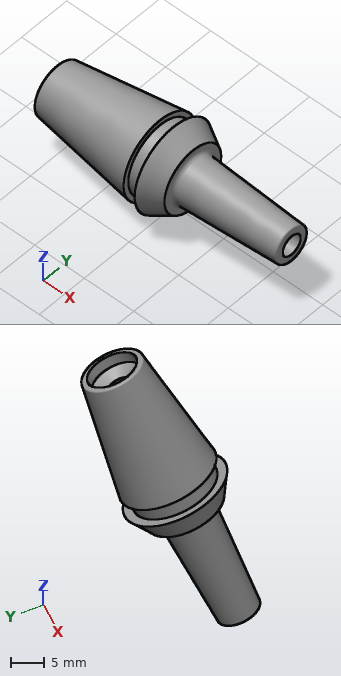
import cadquery as cq
import math

length = 47.5

body_end = 20.75
body_tip_radius = 5.1
body_base_radius = 8.0
body_edge_fillet = 0.3

groove_radius = 6.95
collar_start = 23.5
collar_end = 27.5
collar_large_radius = 8.55
collar_small_radius = 6.3

stem_root_radius = 4.5
stem_tip_radius = 3.5
stem_root_fillet = 0.75
stem_edge_fillet = 0.3

bore_radius = 2.0
socket_radius = 4.1
socket_depth = 1.9
drill_point_angle = 120.0
floor_depth = (socket_radius - bore_radius) / math.tan(math.radians(drill_point_angle / 2))

center_x = length / 2


def turned(points):
    """Revolve a closed (x, radius) outline about the X axis, centered along its length."""
    outline = [(x - center_x, radius) for x, radius in points]
    return cq.Workplane("XY").polyline(outline).close().revolve(360, (0, 0), (1, 0))


def edge_at(x, radius):
    """Select the circular edge of the given radius at one station along the axis."""
    margin = 0.005
    reach = radius + margin
    return cq.selectors.BoxSelector(
        (x - center_x - margin, -reach, -reach),
        (x - center_x + margin, reach, reach),
        boundingbox=True,
    )


outer = turned([
    (0, 0),
    (0, body_tip_radius),
    (body_end, body_base_radius),
    (body_end, groove_radius),
    (collar_start, groove_radius),
    (collar_start, collar_large_radius),
    (collar_end, collar_small_radius),
    (collar_end, stem_root_radius),
    (length, stem_tip_radius),
    (length, 0),
])

outer = outer.edges(edge_at(0, body_tip_radius)).fillet(body_edge_fillet)
outer = outer.edges(edge_at(collar_end, stem_root_radius)).fillet(stem_root_fillet)
outer = outer.edges(edge_at(length, stem_tip_radius)).fillet(stem_edge_fillet)

cavity = turned([
    (0, 0),
    (0, socket_radius),
    (socket_depth, socket_radius),
    (socket_depth + floor_depth, bore_radius),
    (length, bore_radius),
    (length, 0),
])

result = outer.cut(cavity)